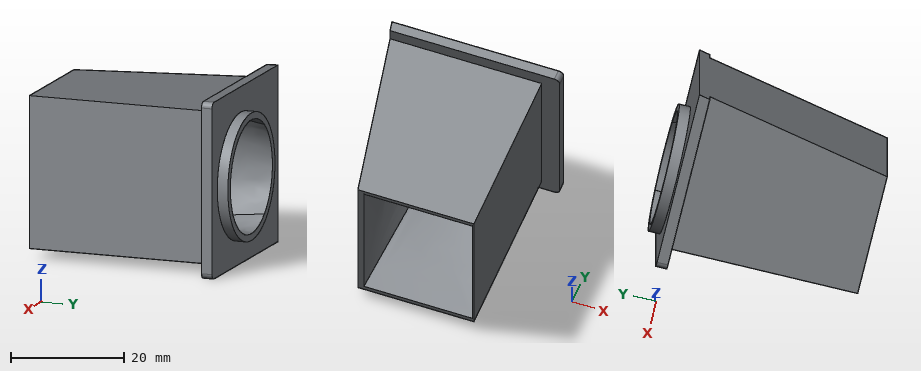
import cadquery as cq
import math

flange_width = 32.4
flange_height = 32.0
flange_thickness = 2.0
flange_corner_radius = 1.0

body_length = 35.86
mouth_width = 21.9
flange_right_lip = 3.4
flange_top_lip = 2.3
flange_bottom_lip = 2.0

spigot_length = 2.0
spigot_diameter = 23.1
spigot_x = 18.3

bore_diameter = 20.6
mouth_wall_left = 1.15
mouth_wall_right = 0.3
mouth_wall_top = 0.75
mouth_wall_bottom = 0.85

mouth_y = -body_length
body_right = flange_width - flange_right_lip
mouth_left = body_right - mouth_width
body_top = flange_height / 2 - flange_top_lip
body_bottom = -flange_height / 2 + flange_bottom_lip
axis_z = (body_top + body_bottom) / 2


def tapered_plate(right, front_y, bottom, top):
    """Plate ending at Y = 0 whose left side lies on the common sloped plane."""
    left_at_front = mouth_left * front_y / mouth_y
    outline = [(0, 0), (right, 0), (right, front_y), (left_at_front, front_y)]
    return cq.Workplane("XY").workplane(offset=bottom).polyline(outline).close().extrude(top - bottom)


def make_flange():
    flange = tapered_plate(flange_width, -flange_thickness, -flange_height / 2, flange_height / 2)
    return flange.edges("|Y and >X").fillet(flange_corner_radius)


def make_body():
    return tapered_plate(body_right, mouth_y, body_bottom, body_top)


def make_spigot():
    back_plane = cq.Workplane("XZ", origin=(spigot_x, 0, axis_z))
    return back_plane.circle(spigot_diameter / 2).extrude(-spigot_length)


def make_passage():
    """Rectangle-to-circle transition; each mouth side blends into one arc of the bore."""
    left = mouth_left + mouth_wall_left
    right = body_right - mouth_wall_right
    bottom = body_bottom + mouth_wall_bottom
    top = body_top - mouth_wall_top
    corners = [
        cq.Vector(right, mouth_y, top),
        cq.Vector(left, mouth_y, top),
        cq.Vector(left, mouth_y, bottom),
        cq.Vector(right, mouth_y, bottom),
    ]

    diagonal = math.atan2(top - bottom, right - left)
    split_angles = [diagonal, math.pi - diagonal, math.pi + diagonal, 2 * math.pi - diagonal]
    mid_angles = [math.pi / 2, math.pi, 3 * math.pi / 2, 0]

    def bore_point(angle):
        radius = bore_diameter / 2
        x = spigot_x + radius * math.cos(angle)
        z = axis_z + radius * math.sin(angle)
        return cq.Vector(x, spigot_length, z)

    sides = []
    arcs = []
    for i in range(len(corners)):
        following = (i + 1) % len(corners)
        sides.append(cq.Edge.makeLine(corners[i], corners[following]))
        start = bore_point(split_angles[i])
        middle = bore_point(mid_angles[i])
        end = bore_point(split_angles[following])
        arcs.append(cq.Edge.makeThreePointArc(start, middle, end))

    mouth = cq.Wire.assembleEdges(sides)
    bore = cq.Wire.assembleEdges(arcs)
    return cq.Workplane(cq.Solid.makeLoft([mouth, bore], True))


result = make_flange().union(make_body()).union(make_spigot()).cut(make_passage())